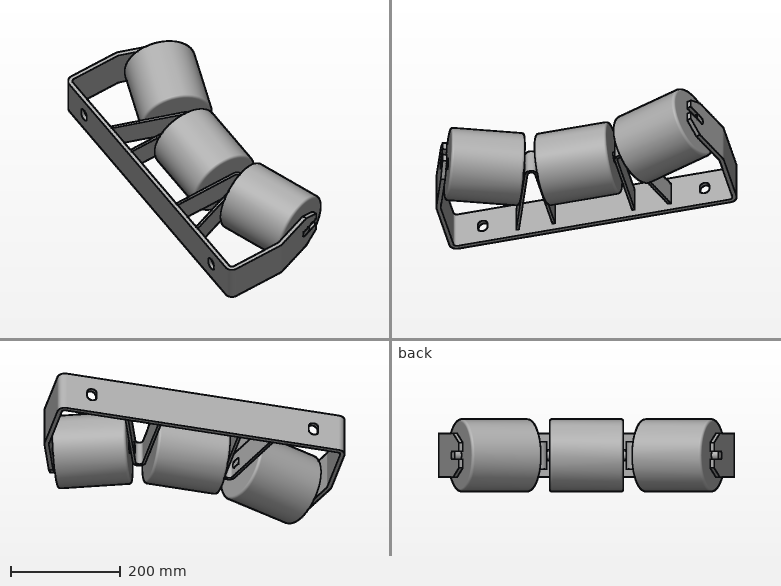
import cadquery as cq
import math


frame_length = 540
frame_width = 80
frame_thickness = 8
frame_bend_radius = 6
wing_tip_reach = 30.5
tip_chamfer_width = 17

divider_width = 50
divider_thickness = 5
divider_bend_radius = 7

mount_slot_spacing = 417
mount_slot_width = 18
mount_slot_height = 26

roller_diameter = 133
roller_length = 135
roller_edge_radius = 5
axle_diameter = 20
axle_flat_width = 14
shoulder_gap = 2
support_half_gap = 72.5

side_tilt = 20
center_roller_y = 125
side_roller_x = 168
side_roller_y = 158.2

tilt = math.radians(side_tilt)
frame_half = frame_length / 2
base_middle_y = frame_thickness / 2
upright_middle_x = frame_half - frame_thickness / 2
axle_end_at_divider = support_half_gap + divider_thickness
axle_end_at_wing = support_half_gap + frame_thickness


def bent_strip(points, width, thickness, bend_radius):
    """Strip of flat bar whose mid-line follows the points, with a round bend at each inner point."""
    middle_radius = bend_radius + thickness / 2
    path = cq.Wire.makePolygon([cq.Vector(x, y, 0) for x, y in points]).fillet(middle_radius)
    (x0, y0), (x1, y1) = points[:2]
    start = cq.Plane(origin=(x0, y0, 0), xDir=(y1 - y0, x0 - x1, 0), normal=(x1 - x0, y1 - y0, 0))
    return cq.Workplane(start).rect(thickness, width).sweep(cq.Workplane(obj=path))


def place_left(body):
    """Move a body from the roller's own axes (axle along X) to the left, tilted position."""
    return body.rotate((0, 0, 0), (0, 0, 1), -side_tilt).translate((-side_roller_x, side_roller_y, 0))


def place_center(body):
    return body.translate((0, center_roller_y, 0))


def mirror_x(body):
    return body.mirror("YZ")


def axle_length_piece(start, end):
    return cq.Workplane("YZ", origin=(start, 0, 0)).circle(axle_diameter / 2).extrude(end - start)


def flatted_end(start, end):
    """Axle end with two flats facing +Z and -Z."""
    middle = (start + end) / 2
    flats = cq.Workplane().box(end - start, axle_diameter, axle_flat_width).translate((middle, 0, 0))
    return axle_length_piece(start, end).intersect(flats)


def make_roller(left_end, right_end):
    """Roller centred on the origin with its axle along X, reaching out to the two given axle ends."""
    drum = (
        cq.Workplane("YZ", origin=(-roller_length / 2, 0, 0))
        .circle(roller_diameter / 2)
        .extrude(roller_length)
        .edges()
        .fillet(roller_edge_radius)
    )
    shoulder = support_half_gap - shoulder_gap
    return (
        drum.union(axle_length_piece(-shoulder, shoulder))
        .union(flatted_end(-left_end, -shoulder))
        .union(flatted_end(shoulder, right_end))
    )


def make_outer_frame():
    """Base plate, two uprights and two wings leaning inwards, all bent from one bar."""
    wing_offset = support_half_gap + frame_thickness / 2
    axis_x = side_roller_x + wing_offset * math.cos(tilt)
    axis_y = side_roller_y + wing_offset * math.sin(tilt)
    tip_x = axis_x - wing_tip_reach * math.sin(tilt)
    tip_y = axis_y + wing_tip_reach * math.cos(tilt)
    corner_y = axis_y - (upright_middle_x - axis_x) / math.tan(tilt)
    left = [(-tip_x, tip_y), (-upright_middle_x, corner_y), (-upright_middle_x, base_middle_y)]
    right = [(-x, y) for x, y in reversed(left)]
    return bent_strip(left + right, frame_width, frame_thickness, frame_bend_radius)


def make_left_divider():
    """Narrow hairpin: one leg upright beside the center roller, one parallel to the left roller's end."""
    leg_offset = support_half_gap + divider_thickness / 2
    upright_x = -leg_offset
    leaning_x = -side_roller_x + leg_offset * math.cos(tilt)
    leaning_y = side_roller_y - leg_offset * math.sin(tilt)
    apex_y = leaning_y + (upright_x - leaning_x) / math.tan(tilt)
    foot_x = upright_x - (apex_y - base_middle_y) * math.tan(tilt)
    points = [(foot_x, base_middle_y), (upright_x, apex_y), (upright_x, base_middle_y)]
    return bent_strip(points, divider_width, divider_thickness, divider_bend_radius)


def tip_corner_cutters():
    """Wedges, in the left roller's axes, that chamfer the wing's corners from axle level to the tip."""
    half = frame_width / 2
    wedge = (
        cq.Workplane("YZ", origin=(-axle_end_at_wing - frame_thickness, 0, 0))
        .polyline([(0, half), (wing_tip_reach, half - tip_chamfer_width), (wing_tip_reach, half)])
        .close()
        .extrude(3 * frame_thickness)
    )
    return wedge.union(wedge.mirror("XY"))


def wing_slot_cutter():
    """Slot, in the left roller's axes, seated on the axle end and open toward the wing tip."""
    seat = flatted_end(-axle_end_at_wing, -support_half_gap)
    opening = (
        cq.Workplane()
        .box(frame_thickness, wing_tip_reach, axle_flat_width)
        .translate((-support_half_gap - frame_thickness / 2, wing_tip_reach / 2, 0))
    )
    return seat.union(opening)


def mount_slots():
    return (
        cq.Workplane("XZ")
        .pushPoints([(-mount_slot_spacing / 2, 0), (mount_slot_spacing / 2, 0)])
        .slot2D(mount_slot_height, mount_slot_width, 90)
        .extrude(-frame_thickness)
    )


left_roller = place_left(make_roller(axle_end_at_wing, axle_end_at_divider))
side_rollers = [left_roller, mirror_x(left_roller)]

left_divider = make_left_divider()
left_cuts = place_left(
    wing_slot_cutter()
    .union(tip_corner_cutters())
    .union(flatted_end(support_half_gap, axle_end_at_divider))
)
carrier = make_outer_frame().union(left_divider).union(mirror_x(left_divider)).cut(mount_slots())
for cuts in (left_cuts, mirror_x(left_cuts)):
    carrier = carrier.cut(cuts)
center_roller = place_center(make_roller(axle_end_at_divider, axle_end_at_divider))
carrier = carrier.union(center_roller, clean=False)

result = cq.Compound.makeCompound([carrier.val(), *(roller.val() for roller in side_rollers)])